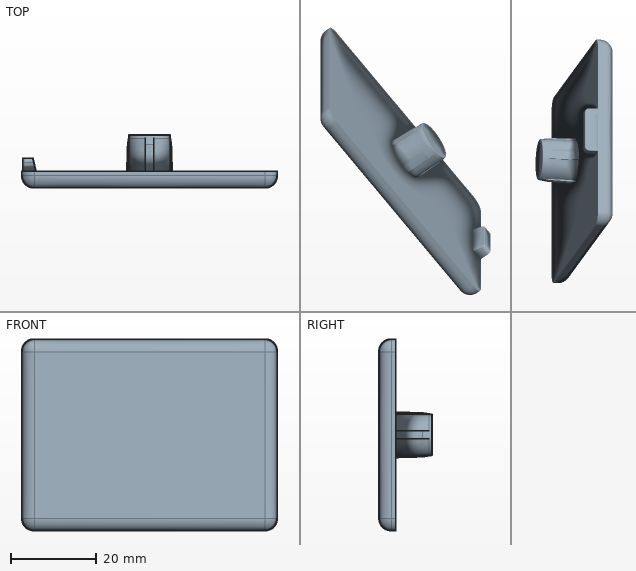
import cadquery as cq

plate_length = 60.0
plate_height = 45.0
plate_thickness = 3.95
plate_round = 2.95

plug_length = 8.5
plug_base_radius = 5.35
plug_shoulder_radius = 5.15
plug_tip_radius = 4.8
plug_lead_in = 2.3
plug_tip_fillet = 0.2
rib_width = 1.9

relief_base_radius = 5.0
relief_end_radius = 4.9

tab_width = 10.3
tab_height = 3.05
tab_inset = 0.25
tab_base_thickness = 3.1
tab_tip_thickness = 2.4
tab_corner_radius = 1.0
tab_edge_fillet = 0.2

overlap = 0.6


def make_plate():
    """Plate with rounded corners and a full round around its outer face."""
    plate = (
        cq.Workplane("XZ")
        .rect(plate_length, plate_height)
        .extrude(plate_thickness)
        .edges("|Y")
        .fillet(plate_round)
    )
    return plate.faces("<Y").edges().fillet(plate_round)


def revolve_about_y(points):
    """Solid of revolution from (radius, y) points closed along the Y axis."""
    profile = [(y, radius) for radius, y in points]
    return cq.Workplane("YZ").polyline(profile).close().revolve(360, (0, 0, 0), (1, 0, 0))


def make_plug():
    """Tapered plug with four ribs standing proud of the relieved surface."""
    full_plug = revolve_about_y([
        (0, -overlap),
        (plug_base_radius, -overlap),
        (plug_base_radius, 0),
        (plug_shoulder_radius, plug_length - plug_lead_in),
        (plug_tip_radius, plug_length),
        (0, plug_length),
    ]).faces(">Y").edges().fillet(plug_tip_fillet)

    core = revolve_about_y([
        (0, -overlap),
        (relief_base_radius, -overlap),
        (relief_base_radius, 0),
        (relief_end_radius, plug_length),
        (0, plug_length),
    ])

    rib_span = 2 * plug_base_radius
    rib_length = plug_length + overlap
    rib_center = (0, (plug_length - overlap) / 2, 0)
    ribs = cq.Workplane("XY").box(rib_span, rib_length, rib_width)
    ribs = ribs.union(cq.Workplane("XY").box(rib_width, rib_length, rib_span))
    return full_plug.intersect(core.union(ribs.translate(rib_center)))


def make_tab():
    """Latch tab with a sloped inner face and rounded free corners."""
    outer_x = tab_inset - plate_length / 2
    slope = (tab_base_thickness - tab_tip_thickness) / tab_height
    root_thickness = tab_base_thickness + slope * overlap
    return (
        cq.Workplane("XY")
        .moveTo(outer_x, -overlap)
        .lineTo(outer_x + root_thickness, -overlap)
        .lineTo(outer_x + tab_tip_thickness, tab_height)
        .lineTo(outer_x, tab_height)
        .close()
        .extrude(tab_width / 2, both=True)
        .faces(">Y")
        .edges("|X")
        .fillet(tab_corner_radius)
        .faces(">Y")
        .edges()
        .fillet(tab_edge_fillet)
    )


result = make_plate().union(make_plug()).union(make_tab())